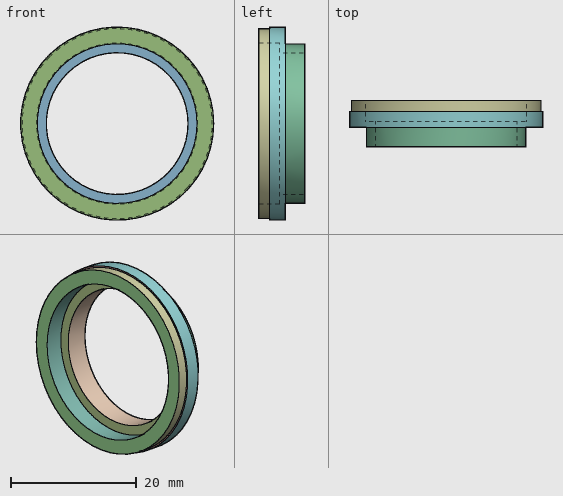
import cadquery as cq

flange_diameter = 30.73
rear_diameter = 30.25
hub_diameter = 25.38
bore_diameter = 22.5
counterbore_diameter = 25.63

total_length = 7.38
hub_length = 3.1
bore_length = 4.05
flange_length = 2.52
rear_length = total_length - hub_length - flange_length
counterbore_depth = total_length - bore_length


def disc(diameter, start_y, length):
    """Solid cylinder along +Y, beginning at start_y."""
    return cq.Workplane("XZ", origin=(0, start_y, 0)).circle(diameter / 2).extrude(-length)


hub = disc(hub_diameter, 0, hub_length)
flange = disc(flange_diameter, hub_length, flange_length)
rear_step = disc(rear_diameter, hub_length + flange_length, rear_length)
bore = disc(bore_diameter, 0, total_length)
counterbore = disc(counterbore_diameter, bore_length, counterbore_depth)

result = hub.union(flange).union(rear_step).cut(bore).cut(counterbore)